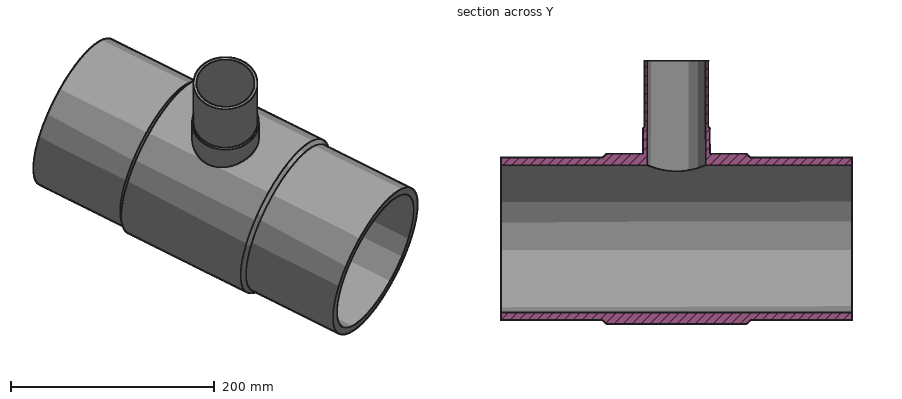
import cadquery as cq

pipe_length = 345.0
pipe_diameter = 160.0
pipe_bore = 144.6

sleeve_length = 145.0
sleeve_diameter = 167.7
sleeve_chamfer = (sleeve_diameter - pipe_diameter) / 2

branch_top = 175.0
branch_diameter = 63.0
branch_bore = 57.0
collar_top = 110.0
collar_diameter = 66.0
collar_chamfer = (collar_diameter - branch_diameter) / 2


def cylinder_along_x(diameter, length):
    return cq.Workplane("YZ", origin=(-length / 2, 0, 0)).circle(diameter / 2).extrude(length)


def cylinder_along_z(diameter, height):
    return cq.Workplane("XY").circle(diameter / 2).extrude(height)


def main_body():
    pipe = cylinder_along_x(pipe_diameter, pipe_length)
    sleeve = cylinder_along_x(sleeve_diameter, sleeve_length).edges("%CIRCLE").chamfer(sleeve_chamfer)
    return pipe.union(sleeve)


def branch_body():
    pipe = cylinder_along_z(branch_diameter, branch_top)
    collar = cylinder_along_z(collar_diameter, collar_top).faces(">Z").edges().chamfer(collar_chamfer)
    return pipe.union(collar)


result = (
    main_body()
    .union(branch_body())
    .cut(cylinder_along_x(pipe_bore, pipe_length))
    .cut(cylinder_along_z(branch_bore, branch_top))
)